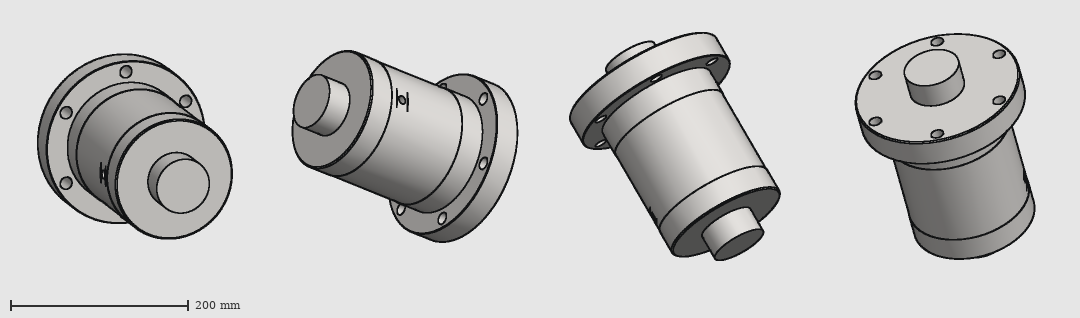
import cadquery as cq

shaft_length = 256.0
shaft_diameter = 63.0
shaft_overhang = 30.0

flange_diameter = 190.0
flange_thickness = 32.0
flange_front_chamfer = 1.5
flange_rear_chamfer = 0.8
collar_diameter = 140.0
collar_length = 30.0
waist_diameter = 139.0
end_chamfer = 1.5

bolt_count = 6
bolt_circle_diameter = 165.0
bolt_hole_diameter = 14.0

port_x = 180.0
flat_width = 16.0
flat_depth = 1.0
port_mouth_diameter = 9.7
port_bottom_diameter = 8.5
port_depth = 15.4

housing_start = shaft_overhang
housing_end = shaft_length - shaft_overhang
flange_end = housing_start + flange_thickness
waist_start = flange_end + collar_length
waist_end = housing_end - collar_length
flat_distance = waist_diameter / 2 - flat_depth


def x_cylinder(diameter, start, end):
    """Solid cylinder along X between two X positions."""
    return cq.Workplane("YZ", origin=(start, 0, 0)).circle(diameter / 2).extrude(end - start)


def make_flange():
    flange = x_cylinder(flange_diameter, housing_start, flange_end)
    flange = flange.faces("<X").chamfer(flange_front_chamfer)
    flange = flange.faces(">X").chamfer(flange_rear_chamfer)
    bolt_holes = (
        cq.Workplane("YZ", origin=(housing_start, 0, 0))
        .polarArray(bolt_circle_diameter / 2, 90, 360, bolt_count)
        .circle(bolt_hole_diameter / 2)
        .extrude(flange_thickness)
    )
    return flange.cut(bolt_holes)


def make_barrel():
    front_collar = x_cylinder(collar_diameter, flange_end, waist_start)
    waist = x_cylinder(waist_diameter, waist_start, waist_end)
    rear_collar = x_cylinder(collar_diameter, waist_end, housing_end).faces(">X").chamfer(end_chamfer)
    return front_collar.union(waist).union(rear_collar)


def make_port(side):
    """Cutter for a flat and its blind, tapered port; side is -1 for -Y and +1 for +Y."""
    flat = cq.Workplane("XY").box(flat_width, 2 * flat_depth, waist_diameter)
    flat = flat.translate((port_x, side * (flat_distance + flat_depth), 0))
    bore = cq.Solid.makeCone(
        port_mouth_diameter / 2,
        port_bottom_diameter / 2,
        port_depth,
        cq.Vector(port_x, side * flat_distance, 0),
        cq.Vector(0, -side, 0),
    )
    return flat.union(cq.Workplane(bore))


def make_shaft():
    return x_cylinder(shaft_diameter, 0, shaft_length)


def make_housing():
    housing = make_flange().union(make_barrel())
    for side in (-1, 1):
        housing = housing.cut(make_port(side))
    return housing.cut(make_shaft())


shaft = make_shaft()
housing = make_housing()

result = cq.Compound.makeCompound([housing.solids().val(), shaft.val()])